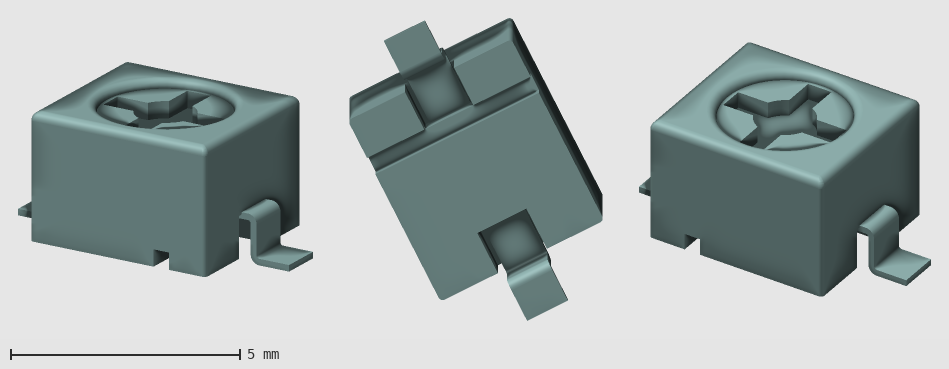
import cadquery as cq

body_length = 4.5
body_width = 4.0
body_height = 3.0
standoff = 0.1
body_top = standoff + body_height
top_round = 0.2
corner_round = 0.1

dish_floor_diameter = 3.0
dish_depth = top_round
cross_span = 2.815
cross_arm_width = 0.6
cross_hub_diameter = 1.4
cross_depth = 0.4

notch_size = 0.4
notch_x = 1.115
lead_slot_width = 1.2
lead_slot_height = 1.0
lead_slot_depth = 1.0

lead_span = 6.93
lead_width = 1.0
lead_thickness = 0.15
lead_top = 1.15
lead_riser_x = 2.63
bend_inner_radius = 0.07
bend_outer_radius = bend_inner_radius + lead_thickness


def make_housing():
    """Block with rounded top and vertical edges."""
    block = cq.Workplane("XY").workplane(offset=standoff)
    block = block.rect(body_length, body_width).extrude(body_height)
    block = block.faces(">Z").edges().fillet(top_round)
    return block.edges("|Z").fillet(corner_round)


def make_dish():
    """Cutter for the shallow dish, flaring out to a rounded lip."""
    floor_radius = dish_floor_diameter / 2
    lip_radius = floor_radius + dish_depth
    floor_z = body_top - dish_depth
    bulge = dish_depth * (1 - 0.5 ** 0.5)
    profile = (
        cq.Workplane("XZ")
        .moveTo(0, floor_z)
        .lineTo(floor_radius, floor_z)
        .threePointArc((floor_radius + bulge, body_top - bulge), (lip_radius, body_top))
        .lineTo(0, body_top)
        .close()
    )
    return profile.revolve(360, (0, 0, 0), (0, 1, 0))


def make_cross():
    """Cutter for the driver slot: two crossed arms and a round hub."""
    plane = cq.Workplane("XY").workplane(offset=body_top - dish_depth - cross_depth)
    arm_x = plane.rect(cross_span, cross_arm_width).extrude(cross_depth)
    arm_y = plane.rect(cross_arm_width, cross_span).extrude(cross_depth)
    hub = plane.circle(cross_hub_diameter / 2).extrude(cross_depth)
    return arm_x.union(arm_y).union(hub)


def make_notch():
    """Cutter for the square notch running across the full width."""
    center_z = standoff + notch_size / 2
    return cq.Workplane("XY").box(notch_size, body_width, notch_size).translate((notch_x, 0, center_z))


def make_lead_slot():
    """Cutter for the slot behind the lead on the +X side."""
    slot = cq.Workplane("XY").box(lead_slot_depth, lead_slot_width, lead_slot_height)
    center_x = (body_length - lead_slot_depth) / 2
    return slot.translate((center_x, 0, standoff + lead_slot_height / 2))


def make_lead():
    """Z-shaped lead on the +X side, its upper end held in the housing."""
    root_x = body_length / 2 - lead_slot_depth
    riser_inner_x = lead_riser_x - lead_thickness
    lead = (
        cq.Workplane("XZ")
        .moveTo(root_x, lead_top)
        .lineTo(lead_riser_x, lead_top)
        .lineTo(lead_riser_x, lead_thickness)
        .lineTo(lead_span / 2, lead_thickness)
        .lineTo(lead_span / 2, 0)
        .lineTo(riser_inner_x, 0)
        .lineTo(riser_inner_x, lead_top - lead_thickness)
        .lineTo(root_x, lead_top - lead_thickness)
        .close()
        .extrude(lead_width / 2, both=True)
    )

    def bend_edge(x, z):
        return cq.selectors.NearestToPointSelector((x, 0, z))

    lead = lead.edges(bend_edge(lead_riser_x, lead_top)).fillet(bend_outer_radius)
    lead = lead.edges(bend_edge(riser_inner_x, 0)).fillet(bend_outer_radius)
    lead = lead.edges(bend_edge(lead_riser_x, lead_thickness)).fillet(bend_inner_radius)
    return lead.edges(bend_edge(riser_inner_x, lead_top - lead_thickness)).fillet(bend_inner_radius)


result = make_housing().cut(make_dish()).cut(make_cross()).cut(make_notch())
lead_slot = make_lead_slot()
lead = make_lead()
for turn in (0, 180):
    result = result.cut(lead_slot.rotate((0, 0, 0), (0, 0, 1), turn))
for turn in (0, 180):
    result = result.union(lead.rotate((0, 0, 0), (0, 0, 1), turn))